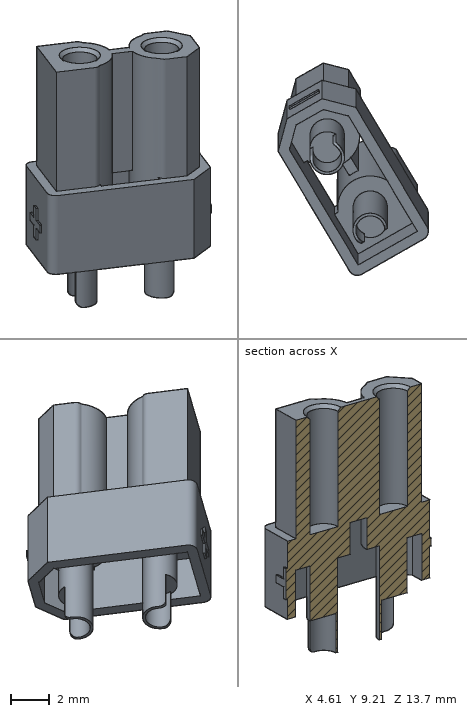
import cadquery as cq
import math


cup_top = 2.2
housing_bottom = 2.66
socket_bottom = 5.29
housing_top = 7.07
total_height = 13.73

housing_width = 4.61
housing_length = 9.01
housing_chamfer = 1.26
housing_radius = 0.47

plug_width = 3.51
plug_length = 7.96
plug_chamfer = 0.95
barrel_radius = 1.68
barrel_offset = 2.2
web_thickness = 0.55
block_end = 1.57
block_corner_radius = 0.35
barrel_blend_radius = 0.2

socket_diameter = 1.76
socket_mouth_diameter = 2.11
socket_lead_in = 0.19
socket_floor = housing_top

pin_radius = 0.885
cup_bore_radius = 0.74
cup_cut_offset = 0.44
cup_tip_radius = 0.38

mark_span = 1.76
mark_stroke = 0.44
mark_relief = 0.1
mark_height = 4.67


def prism(sketch, bottom, top):
    """Place a profile drawn at Z = 0 between two heights."""
    return sketch.extrude(top - bottom).translate((0, 0, bottom))


def box_between(x_size, y_start, y_end, bottom, top):
    """Box centred on X that spans the given Y and Z ranges."""
    box = cq.Workplane("XY").box(x_size, y_end - y_start, top - bottom)
    return box.translate((0, (y_start + y_end) / 2, (bottom + top) / 2))


def keyed_block(width, y_start, y_end, chamfer, bottom, top):
    """Box with its two +Y vertical edges chamfered."""
    block = box_between(width, y_start, y_end, bottom, top)
    return block.faces(">Y").edges("|Z").chamfer(chamfer)


def barrel(side, radius, bottom, top):
    """Cylinder on the pole axis at the +Y (side = 1) or -Y (side = -1) end."""
    circle = cq.Workplane("XY").center(0, side * barrel_offset).circle(radius)
    return prism(circle, bottom, top)


def plug_end(side):
    """Squared end block merged with the barrel of one pole, above the housing."""
    if side > 0:
        block = keyed_block(
            plug_width, block_end, plug_length / 2, plug_chamfer, housing_top, total_height
        )
        block = block.faces("<Y").edges("|Z").fillet(block_corner_radius)
    else:
        block = box_between(plug_width, -plug_length / 2, -block_end, housing_top, total_height)
        block = block.faces(">Y").edges("|Z").fillet(block_corner_radius)
    body = block.union(barrel(side, barrel_radius, housing_top, total_height))

    corner_y = side * block_end
    for corner_x in (-barrel_radius, barrel_radius):
        point = (corner_x, corner_y, (housing_top + total_height) / 2)
        body = body.edges(cq.selectors.NearestToPointSelector(point)).fillet(barrel_blend_radius)
    return body


def plug():
    web = box_between(web_thickness, -barrel_offset, barrel_offset, housing_top, total_height)
    return web.union(plug_end(1)).union(plug_end(-1))


def housing():
    """Collar with a central window at the top and a wider cavity underneath."""
    body = keyed_block(
        housing_width, -housing_length / 2, housing_length / 2, housing_chamfer, housing_bottom, housing_top
    )
    body = body.faces("<Y").edges("|Z").fillet(housing_radius)
    window = box_between(plug_width, -block_end, block_end, socket_bottom, housing_top)
    cavity = keyed_block(
        plug_width, -plug_length / 2, plug_length / 2, plug_chamfer, housing_bottom, socket_bottom
    )
    body = body.cut(window).cut(cavity)
    for side in (1, -1):
        body = body.union(barrel(side, barrel_radius, socket_bottom, housing_top))
    return body


def socket(side):
    """Blind round socket with a conical lead-in at the top."""
    bore = barrel(side, socket_diameter / 2, socket_floor, total_height)
    lead_in = cq.Workplane("XY").add(
        cq.Solid.makeCone(
            socket_diameter / 2,
            socket_mouth_diameter / 2,
            socket_lead_in,
            cq.Vector(0, side * barrel_offset, total_height - socket_lead_in),
        )
    )
    return bore.union(lead_in)


def contact(side):
    """Round pin ending in a solder cup that is open towards the end of the part."""
    pin = barrel(side, pin_radius, 0, socket_bottom)
    pin = pin.cut(barrel(side, cup_bore_radius, 0, cup_top))
    open_face = side * (barrel_offset + cup_cut_offset)
    outer_side = side * (barrel_offset + pin_radius)
    tip_start = open_face - side * cup_tip_radius
    diagonal = cup_tip_radius * math.sqrt(0.5)
    arc_middle = (tip_start + side * diagonal, cup_tip_radius - diagonal)
    trim = (
        cq.Workplane("YZ")
        .moveTo(tip_start, 0)
        .threePointArc(arc_middle, (open_face, cup_tip_radius))
        .lineTo(open_face, cup_top)
        .lineTo(outer_side, cup_top)
        .lineTo(outer_side, 0)
        .close()
        .extrude(pin_radius, both=True)
    )
    return pin.cut(trim)


def polarity_marks():
    """Plus sign on the -Y end and minus sign on the +Y end."""
    half_length = housing_length / 2
    low = mark_height - mark_stroke / 2
    high = mark_height + mark_stroke / 2
    plus_bar = box_between(mark_span, -half_length - mark_relief, -half_length, low, high)
    plus_post = box_between(
        mark_stroke, -half_length - mark_relief, -half_length,
        mark_height - mark_span / 2, mark_height + mark_span / 2,
    )
    minus_bar = box_between(mark_span, half_length, half_length + mark_relief, low, high)
    return plus_bar, plus_post, minus_bar


result = housing().union(plug())
for mark in polarity_marks():
    result = result.union(mark)
for pole_side in (1, -1):
    result = result.union(contact(pole_side))
    result = result.cut(socket(pole_side))